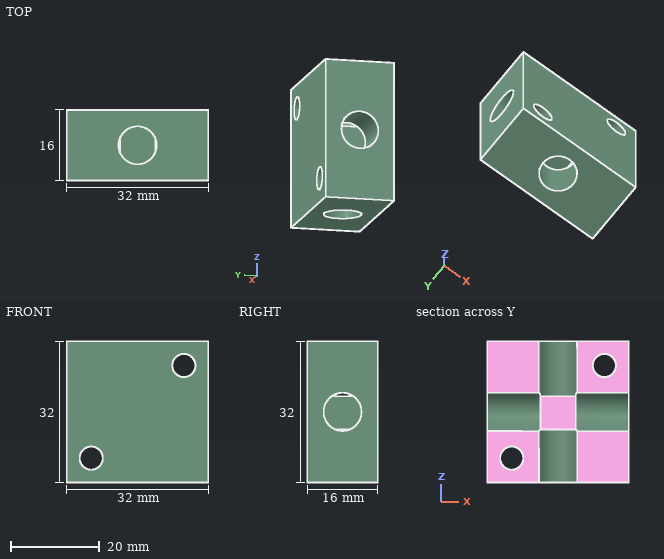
import cadquery as cq

side = 32.0
thickness = side / 2
half_side = side / 2

port_diameter = 8.58
port_depth = 12.0
top_port_depth = 12.48

mount_diameter = 5.2
mount_offset = 10.45


def port(direction, depth):
    """Cylinder running inward from the face that the direction points to."""
    outward = cq.Vector(*direction)
    return cq.Workplane(
        cq.Solid.makeCylinder(port_diameter / 2, depth, outward * half_side, outward * -1)
    )


block = cq.Workplane("XY").box(side, thickness, side)

ports = [
    ((-1, 0, 0), port_depth),
    ((1, 0, 0), port_depth),
    ((0, 0, -1), port_depth),
    ((0, 0, 1), top_port_depth),
]
for direction, depth in ports:
    block = block.cut(port(direction, depth))

mount_holes = (
    cq.Workplane("XZ")
    .pushPoints([(-mount_offset, -mount_offset), (mount_offset, mount_offset)])
    .circle(mount_diameter / 2)
    .extrude(thickness / 2, both=True)
)

result = block.cut(mount_holes)